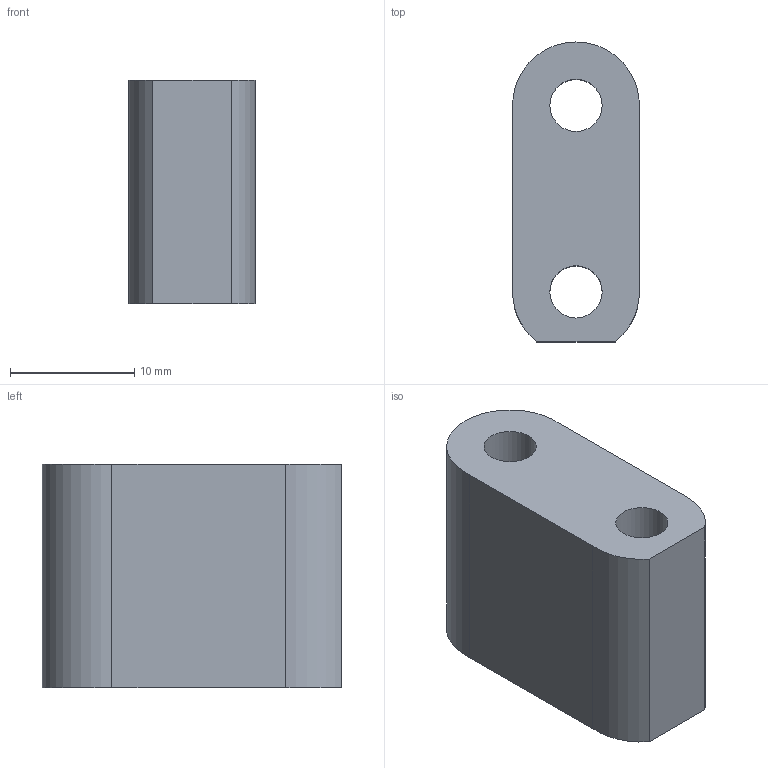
import cadquery as cq
import math

width = 10.15
front_setback = 4.0
height = 18.0
hole_spacing = 15.0
hole_diameter = 4.2
end_radius = 5.1

half_width = width / 2
end_rise = math.sqrt(end_radius**2 - half_width**2)
back_y = hole_spacing + end_radius
front_y = -front_setback
front_half_width = math.sqrt(end_radius**2 - front_y**2)


def corner_midpoint(side):
    """Middle of the arc joining the front face to a side (side = -1 or +1)."""
    start_angle = math.atan2(front_y, front_half_width)
    end_angle = math.atan2(end_rise, half_width)
    middle_angle = (start_angle + end_angle) / 2
    return side * end_radius * math.cos(middle_angle), end_radius * math.sin(middle_angle)


def make_body():
    """Upright block: full round at the back, round cut by a flat at the front."""
    back_arc_y = hole_spacing - end_rise
    return (
        cq.Workplane("XY")
        .moveTo(-front_half_width, front_y)
        .lineTo(front_half_width, front_y)
        .threePointArc(corner_midpoint(1), (half_width, end_rise))
        .lineTo(half_width, back_arc_y)
        .threePointArc((0, back_y), (-half_width, back_arc_y))
        .lineTo(-half_width, end_rise)
        .threePointArc(corner_midpoint(-1), (-front_half_width, front_y))
        .close()
        .extrude(height)
    )


def make_holes():
    """The two vertical through holes."""
    return (
        cq.Workplane("XY")
        .pushPoints([(0, 0), (0, hole_spacing)])
        .circle(hole_diameter / 2)
        .extrude(height)
    )


result = make_body().cut(make_holes())